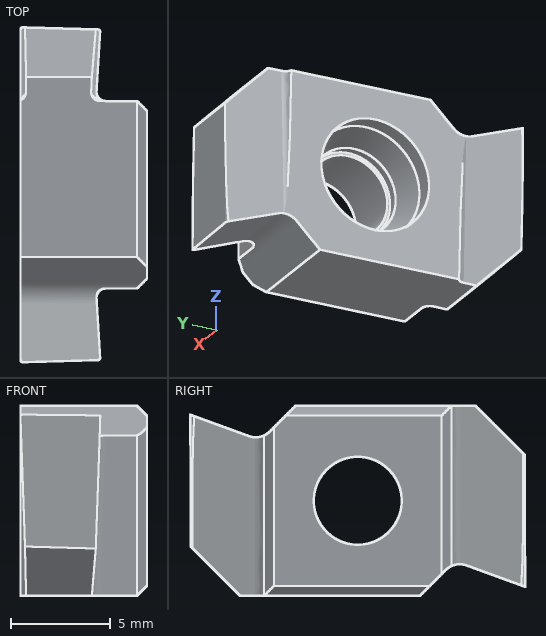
import math

import cadquery as cq


thickness = 6.35
half_length = 8.405
half_height = 9.53 / 2

heel_chamfer = 2.5
tip_z = 4.32
rake_slope = math.tan(math.radians(20))
flank_start_y = 3.12
gullet_radius = 1.0

shoulder_y = 4.7
body_chamfer = 0.5

neck_width = 3.82
neck_radius = 0.45
side_relief = math.tan(math.radians(2))
outer_flare = 0.048
inner_flare = side_relief * rake_slope
end_slope = 0.028
end_relief = math.tan(math.radians(0.2))
corner_radius = 0.14

mouth_radius = 3.04
mouth_depth = 1.05
seat_radius = 2.36
seat_end = 2.33
ledge_depth = 2.93
bore_radius = 2.2

root_y = shoulder_y + neck_radius
root_z = -tip_z + (half_length - root_y) * rake_slope
beyond = 12.0


def half_turn(shape):
    """Carries a +Y wing feature over to the -Y wing."""
    return shape.rotate((0, 0, 0), (1, 0, 0), 180)


def leaning_prism(outline, base_z, lean_x, lean_y):
    """Prism over the XY outline given at base_z, leaning by the given run per unit of Z."""
    drop = cq.Vector(-lean_x, -lean_y, -1) * beyond
    rise = cq.Vector(lean_x, lean_y, 1) * (2 * beyond)
    wire = outline.wires().val().moved(cq.Location(cq.Vector(0, 0, base_z) + drop))
    return cq.Workplane(obj=cq.Solid.extrudeLinear(wire, [], rise))


def make_blank():
    """Full-thickness plate with the side outline and rounded gullets."""
    gullet_y = (half_height + flank_start_y - tip_z + half_length * rake_slope) / (1 + rake_slope)
    gullet_z = gullet_y - flank_start_y - half_height
    half_outline = [
        (half_length - heel_chamfer, half_height),
        (half_length, half_height - heel_chamfer),
        (half_length, -tip_z),
        (gullet_y, gullet_z),
        (flank_start_y, -half_height),
    ]
    other_half = [(-y, -z) for y, z in half_outline]
    blank = cq.Workplane("YZ").polyline(half_outline + other_half).close().extrude(thickness)
    for side in (1, -1):
        corner = (thickness / 2, side * gullet_y, side * gullet_z)
        blank = blank.edges(cq.NearestToPointSelector(corner)).fillet(gullet_radius)
    return blank


def far_face_cutter():
    """Bevels the four sides of the body around the far face."""
    layer = cq.Workplane("YZ").workplane(offset=thickness - body_chamfer)
    bevelled = layer.rect(2 * shoulder_y, 2 * half_height).extrude(body_chamfer, taper=45)
    surround = layer.rect(2 * beyond, 2 * beyond).extrude(body_chamfer)
    return surround.cut(bevelled)


def side_cutter(neck_x, outward, flare):
    """Clears one side of the +Y wing; outward is +1 for the far side and -1 for X = 0."""
    diagonal = neck_radius * math.sqrt(0.5)
    shoulder_x = neck_x + outward * neck_radius
    arc_middle = (shoulder_x - outward * diagonal, root_y - diagonal)
    outer_x = neck_x + outward * beyond
    outline = (
        cq.Workplane("XY")
        .moveTo(neck_x, root_y)
        .threePointArc(arc_middle, (shoulder_x, shoulder_y))
        .lineTo(outer_x, shoulder_y)
        .lineTo(outer_x, root_y + beyond)
        .lineTo(neck_x + flare * beyond, root_y + beyond)
        .close()
    )
    return leaning_prism(outline, root_z, -outward * side_relief, 0)


def tip_cutter():
    """Trims the end of the +Y wing to the sloped end edge with rounded corners."""
    edge_flare = outer_flare + side_relief * rake_slope
    tip_x = neck_width + edge_flare * (half_length - root_y)
    end_zone_start = half_length - end_slope * tip_x - 2 * corner_radius
    blade = (
        cq.Workplane("XY")
        .polyline([
            (0, root_y),
            (neck_width, root_y),
            (tip_x, half_length - end_slope * tip_x),
            (0, half_length),
        ])
        .close()
        .extrude(thickness)
        .edges("|Z and (>Y or >X)")
        .fillet(corner_radius)
        .faces("<Z")
    )
    kept = leaning_prism(blade, -tip_z, 0, -end_relief)
    end_zone = (
        cq.Workplane("XY")
        .box(2 * beyond, beyond, 2 * beyond, centered=(True, False, True))
        .translate((0, end_zone_start, 0))
    )
    return end_zone.cut(kept)


def screw_seat():
    """Stepped screw hole: wide mouth, conical seat, short narrow cylinder and bore."""
    return (
        cq.Workplane("XZ")
        .lineTo(0, -mouth_radius)
        .lineTo(mouth_depth, -mouth_radius)
        .lineTo(seat_end, -seat_radius)
        .lineTo(ledge_depth, -seat_radius)
        .lineTo(ledge_depth, -bore_radius)
        .lineTo(thickness, -bore_radius)
        .lineTo(thickness, 0)
        .close()
        .revolve(360, (0, 0, 0), (1, 0, 0))
    )


result = make_blank()
wing_cutters = [
    side_cutter(0, -1, inner_flare),
    side_cutter(neck_width, 1, outer_flare),
    tip_cutter(),
]
for cutter in wing_cutters:
    result = result.cut(cutter).cut(half_turn(cutter))

result = result.cut(far_face_cutter())
result = result.cut(screw_seat())